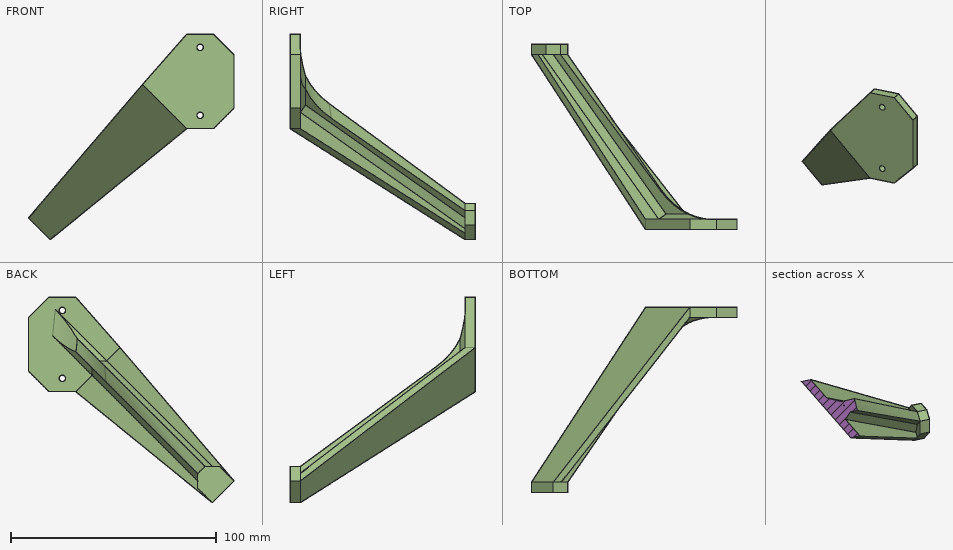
import cadquery as cq
import math

thickness = 5.0
rise = 85.0
hole_diameter = 3.0
hole_half_spacing = 16.5
plate_half_height = 23.0
plate_half_top = 6.5
plate_right = 16.5
corner_cut = plate_right - plate_half_top
arm_cut = 21.5
tip_left = -83.41
tip_bottom = -76.91
tip_width = 15.0
tip_side = 10.0
rib_width = 5.0
rib_fillet_radius = 50.0
ridge_foot_x = -10.5
flare_width = 2.5
flare_on_plate = 2.5
flare_on_arm = 5.0

half_root = math.sqrt(0.5)
tip_edge = tip_width * half_root
tip_step = tip_side * half_root
rib_step = rib_width * half_root

plate_low = (-plate_half_top, -plate_half_height)
plate_high = (plate_low[0] - arm_cut, plate_low[1] + arm_cut)
tip_low = (tip_left + tip_edge, tip_bottom)
tip_high = (tip_left, tip_bottom + tip_edge)
tip_middle = ((tip_low[0] + tip_high[0]) / 2, (tip_low[1] + tip_high[1]) / 2)
rib_middle = (tip_middle[1] - tip_middle[0]) * half_root
plate_edge_along = (plate_low[0] + plate_low[1]) * half_root
tip_edge_along = (tip_low[0] + tip_low[1]) * half_root
rib_tip = tip_edge_along + tip_side + (tip_width - rib_width) / 2


def prism(points, y_start, depth):
    """Extrude an outline of (x, z) points along +Y."""
    return cq.Workplane("XZ", origin=(0, y_start, 0)).polyline(points).close().extrude(-depth)


def make_plate():
    """Seven-sided mounting plate with its slanted lower left edge facing the arm."""
    outline = [
        plate_low,
        (plate_half_top, -plate_half_height),
        (plate_right, -plate_half_height + corner_cut),
        (plate_right, plate_half_height - corner_cut),
        (plate_half_top, plate_half_height),
        (-plate_half_top, plate_half_height),
        plate_high,
    ]
    return prism(outline, 0, thickness)


def make_tip_pad():
    """Small pad at the far end of the arm, a turned square with its two far corners cut off."""
    left, top = tip_high[0] + tip_step, tip_high[1] + tip_step
    right, bottom = tip_low[0] + tip_step, tip_low[1] + tip_step
    outline = [
        tip_low,
        tip_high,
        (left, top),
        (right - rib_step, top),
        (right, top - rib_step),
        (right, bottom),
    ]
    return prism(outline, rise, thickness)


def sweep_face(points, travel):
    """Extrude the flat face through the points along a vector that may be oblique to it."""
    face = cq.Face.makeFromWires(cq.Wire.makePolygon(points, close=True))
    return cq.Workplane(cq.Solid.extrudeLinear(face, travel))


def make_arm():
    """Tapered slab rising from the plate edge to the tip pad edge, cut off at the pad face."""
    outline = [
        cq.Vector(plate_low[0], 0, plate_low[1]),
        cq.Vector(plate_high[0], 0, plate_high[1]),
        cq.Vector(tip_high[0], rise, tip_high[1]),
        cq.Vector(tip_low[0], rise, tip_low[1]),
    ]
    slab = sweep_face(outline, cq.Vector(0, thickness, 0))
    below_pad = cq.Workplane("XY").box(
        2 * abs(tip_left), rise, 2 * abs(tip_bottom), centered=(True, False, True))
    return slab.intersect(below_pad)


def rib_point(along, y, across):
    """Point given along the X+Z diagonal, along Y and across the rib from its middle plane."""
    side = rib_middle + across
    return cq.Vector((along - side) * half_root, y, (along + side) * half_root)


def rib_profile(across):
    """Outline between plate, arm and pad in the plane parallel to the rib at this offset."""
    corner = ridge_foot_x / half_root + rib_middle + across
    ridge_along = rib_tip - corner
    ridge_y = rise - thickness
    ridge_length = math.hypot(ridge_along, ridge_y)
    turn = math.pi - math.atan2(ridge_y, ridge_along)
    tangent = rib_fillet_radius * math.tan(turn / 2)
    reach = tangent / ridge_length
    fillet_start = (corner + ridge_along * reach, thickness + ridge_y * reach)
    fillet_end = corner + tangent
    fillet_middle = (
        fillet_end - rib_fillet_radius * math.sin(turn / 2),
        thickness + rib_fillet_radius * (1 - math.cos(turn / 2)),
    )
    plane = cq.Plane(
        origin=rib_point(0, 0, across).toTuple(), xDir=(1, 0, 1), normal=(-1, 0, 1))
    return (
        cq.Workplane(plane)
        .moveTo(tip_edge_along, rise)
        .lineTo(rib_tip, rise)
        .lineTo(*fillet_start)
        .threePointArc(fillet_middle, (fillet_end, thickness))
        .lineTo(plate_edge_along, thickness)
        .close()
        .val()
    )


def rib_body(width):
    """Rib of constant width whose back edge twists from the pad corner cut to upright."""
    profiles = [rib_profile(-width / 2), rib_profile(width / 2)]
    return cq.Workplane(cq.Solid.makeLoft(profiles, True))


def make_rib():
    """Central rib whose foot spreads with sloped sides onto the plate and onto the arm."""
    top = rib_width / 2
    foot = top + flare_width
    plate_flare_reach = 2 * plate_right
    arm_start = plate_edge_along + thickness
    plate_flare = sweep_face(
        [
            rib_point(plate_edge_along, thickness, -foot),
            rib_point(plate_edge_along, thickness, foot),
            rib_point(plate_edge_along, thickness + flare_on_plate, top),
            rib_point(plate_edge_along, thickness + flare_on_plate, -top),
        ],
        cq.Vector(plate_flare_reach, 0, plate_flare_reach),
    )
    arm_flare = sweep_face(
        [
            rib_point(arm_start, 0, -foot),
            rib_point(arm_start, 0, foot),
            rib_point(arm_start + flare_on_arm, 0, top),
            rib_point(arm_start + flare_on_arm, 0, -top),
        ],
        rib_point(-rise, rise, 0) - rib_point(0, 0, 0),
    )
    flares = plate_flare.union(arm_flare).intersect(rib_body(2 * foot))
    return rib_body(rib_width).union(flares)


def make_holes():
    """Two through holes in the plate, one above the other."""
    return (
        cq.Workplane("XZ")
        .pushPoints([(0, -hole_half_spacing), (0, hole_half_spacing)])
        .circle(hole_diameter / 2)
        .extrude(-thickness)
    )


body = make_plate().union(make_tip_pad()).union(make_arm()).union(make_rib())
result = body.cut(make_holes())